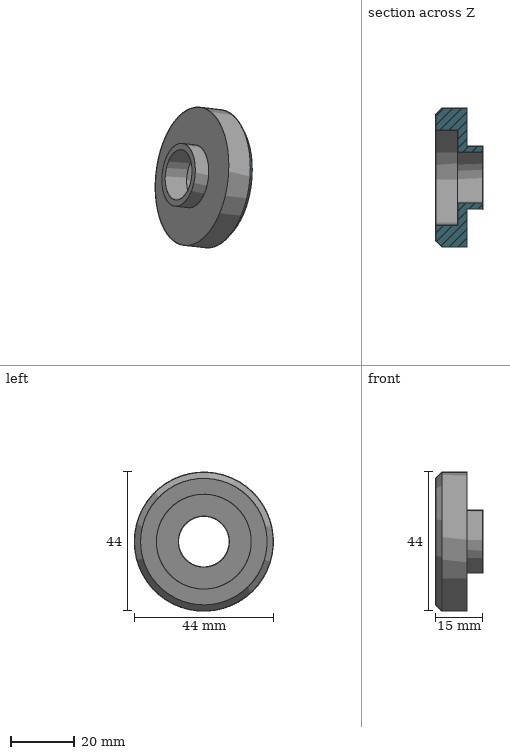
import cadquery as cq

disc_diameter = 44.0
disc_thickness = 10.0
rim_chamfer = 2.0
hub_diameter = 20.0
hub_length = 5.0
recess_diameter = 30.0
recess_depth = 7.0
bore_diameter = 16.0

total_length = disc_thickness + hub_length


def cylinder_along_x(diameter, start_x, length):
    """Solid cylinder on the X axis, growing toward +X from start_x."""
    return cq.Workplane("YZ", origin=(start_x, 0, 0)).circle(diameter / 2).extrude(length)


def chamfered_disc():
    """Main disc with its rim chamfered on the -X face."""
    disc = cylinder_along_x(disc_diameter, 0, disc_thickness)
    return disc.faces("<X").edges().chamfer(rim_chamfer)


hub = cylinder_along_x(hub_diameter, disc_thickness, hub_length)

recess = cylinder_along_x(recess_diameter, 0, recess_depth)
bore = cylinder_along_x(bore_diameter, 0, total_length)

result = chamfered_disc().union(hub).cut(recess).cut(bore)